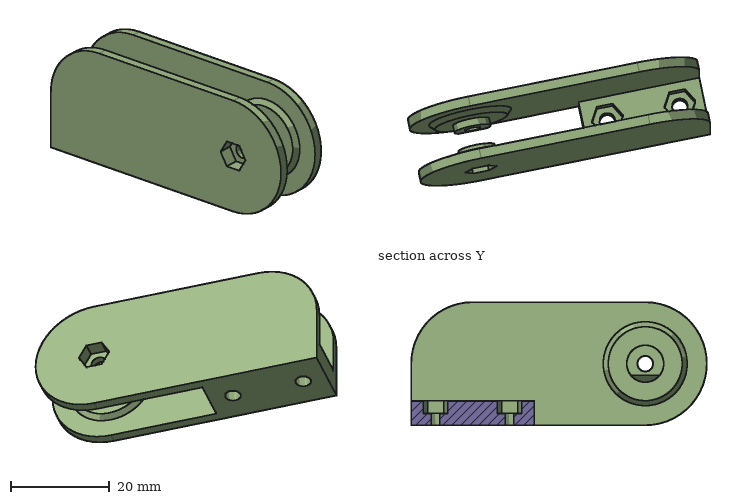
import cadquery as cq
import math

length = 60.0
width = 13.0
height = 25.0
gap = 9.0
floor_length = height
floor_height = 5.0
end_radius = height / 2

axle_x = length - end_radius
axle_z = end_radius
collar_height = 1.0
collar_top_radius = 7.5
collar_base_radius = collar_top_radius + collar_height
pin_radius = 7.5 / 2
pin_height = 1.5
pin_slope_height = 1.45

axle_hole_diameter = 3.1
floor_hole_diameter = 3.2
nut_diameter = 6.5
axle_nut_depth = 3.0
floor_nut_depth = 2.5
floor_hole_positions = (5.0, 20.0)


def make_body():
    """Rounded plate outline extruded to full width, with the gap cut out above and beyond the floor."""
    diagonal = end_radius * math.sqrt(0.5)
    body = (
        cq.Workplane("XZ", origin=(0, width / 2, 0))
        .lineTo(axle_x, 0)
        .threePointArc((length, axle_z), (axle_x, height))
        .lineTo(end_radius, height)
        .threePointArc((end_radius - diagonal, axle_z + diagonal), (0, axle_z))
        .close()
        .extrude(width)
    )
    above_floor = cq.Workplane().box(length, gap, height, centered=(False, True, False))
    beyond_floor = above_floor.translate((floor_length, 0, 0))
    return body.cut(above_floor.translate((0, 0, floor_height))).cut(beyond_floor)


def make_front_boss():
    """Conical collar and pin on the -Y plate; the underside of the pin slopes at 45 degrees."""
    inner_face = -gap / 2
    collar_face = inner_face + collar_height
    pin_face = collar_face + pin_height
    profile = [
        (0, inner_face),
        (collar_base_radius, inner_face),
        (collar_top_radius, collar_face),
        (pin_radius, collar_face),
        (pin_radius, pin_face),
        (0, pin_face),
    ]
    boss = cq.Workplane("XY").polyline(profile).close().revolve(360, (0, 0), (0, 1))
    underside_wedge = (
        cq.Workplane("YZ")
        .polyline([
            (pin_face - pin_slope_height, -pin_radius),
            (pin_face, -pin_radius),
            (pin_face, -pin_radius + pin_slope_height),
        ])
        .close()
        .extrude(pin_radius, both=True)
    )
    return boss.cut(underside_wedge).translate((axle_x, 0, axle_z))


def cut_axle_hole(part):
    """Bolt hole through both plates, with a nut pocket in each outer face."""
    front = cq.Workplane("XZ", origin=(axle_x, -width / 2, axle_z))
    hole = front.circle(axle_hole_diameter / 2).extrude(-width)
    pocket = front.polygon(6, nut_diameter).extrude(-axle_nut_depth)
    return part.cut(hole).cut(pocket).cut(pocket.mirror("XZ"))


def cut_floor_holes(part):
    """Vertical bolt holes with nut pockets sunk into the top of the floor."""
    for x in floor_hole_positions:
        top = cq.Workplane("XY", origin=(x, 0, floor_height))
        part = part.cut(top.circle(floor_hole_diameter / 2).extrude(-floor_height))
        part = part.cut(top.polygon(6, nut_diameter).extrude(-floor_nut_depth))
    return part


front_boss = make_front_boss()
result = make_body().union(front_boss).union(front_boss.mirror("XZ"))
result = cut_floor_holes(cut_axle_hole(result))